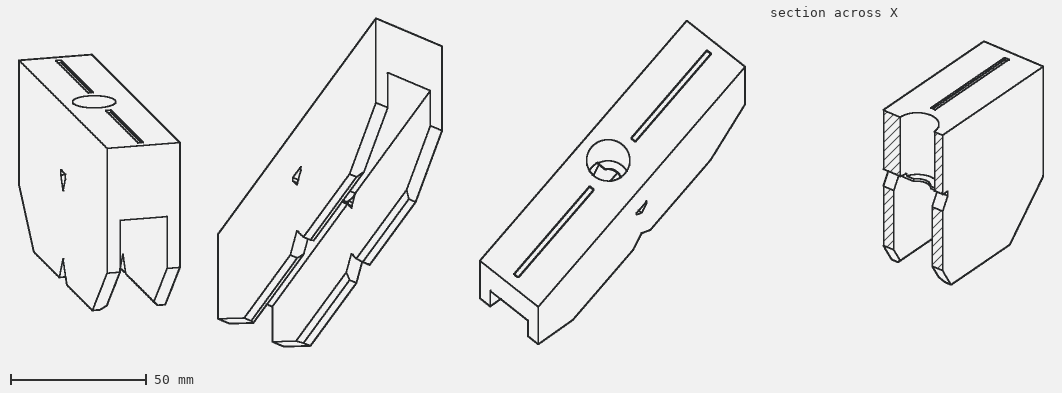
import cadquery as cq
import math

LENGTH = 120.0
WIDTH = 28.0
HEIGHT = 68.0
CORNER_CUT = 20.0

CHANNEL_WIDTH = 18.0
CHANNEL_HEIGHT = 40.0
LEG_CHAMFER = 2.0

NOTCH_WIDTH = 10.0
WINDOW_WIDTH = 6.0
WINDOW_TOP = 42.0

BORE_DIAMETER = 16.0
BORE_DEPTH = 27.0
THROUGH_DIAMETER = 10.0
BORE_Y = -2.0

GROOVE_LENGTH = 43.9
GROOVE_WIDTH = 2.0
GROOVE_DEPTH = 1.0
GROOVE_END_GAP = 4.1


def triangle_height(side):
    """Height of an equilateral triangle."""
    return side * math.sqrt(3) / 2


def extrude_across(outline):
    """Extrude an XZ outline through the full width of the block."""
    return outline.close().extrude(WIDTH / 2, both=True)


def block():
    half_length = LENGTH / 2
    foot = half_length - CORNER_CUT
    return extrude_across(
        cq.Workplane("XZ")
        .moveTo(-foot, 0)
        .lineTo(foot, 0)
        .lineTo(half_length, CORNER_CUT)
        .lineTo(half_length, HEIGHT)
        .lineTo(-half_length, HEIGHT)
        .lineTo(-half_length, CORNER_CUT)
    )


def channel():
    half_width = CHANNEL_WIDTH / 2
    mouth = half_width + LEG_CHAMFER
    return (
        cq.Workplane("YZ")
        .moveTo(-mouth, 0)
        .lineTo(mouth, 0)
        .lineTo(half_width, LEG_CHAMFER)
        .lineTo(half_width, CHANNEL_HEIGHT)
        .lineTo(-half_width, CHANNEL_HEIGHT)
        .lineTo(-half_width, LEG_CHAMFER)
        .close()
        .extrude(LENGTH / 2, both=True)
    )


def bottom_notch():
    return extrude_across(
        cq.Workplane("XZ")
        .moveTo(-NOTCH_WIDTH / 2, 0)
        .lineTo(NOTCH_WIDTH / 2, 0)
        .lineTo(0, triangle_height(NOTCH_WIDTH))
    )


def window():
    """Pointed window: a triangle below the channel roof, a short rectangle above it."""
    half_width = WINDOW_WIDTH / 2
    return extrude_across(
        cq.Workplane("XZ")
        .moveTo(0, CHANNEL_HEIGHT - triangle_height(WINDOW_WIDTH))
        .lineTo(half_width, CHANNEL_HEIGHT)
        .lineTo(half_width, WINDOW_TOP)
        .lineTo(-half_width, WINDOW_TOP)
        .lineTo(-half_width, CHANNEL_HEIGHT)
    )


def stepped_bore():
    top = cq.Workplane("XY", origin=(0, BORE_Y, HEIGHT))
    wide = top.circle(BORE_DIAMETER / 2).extrude(-BORE_DEPTH)
    narrow = top.circle(THROUGH_DIAMETER / 2).extrude(CHANNEL_HEIGHT - HEIGHT)
    return wide.union(narrow)


def grooves():
    offset = (LENGTH - GROOVE_LENGTH) / 2 - GROOVE_END_GAP
    return (
        cq.Workplane("XY", origin=(0, 0, HEIGHT))
        .pushPoints([(-offset, 0), (offset, 0)])
        .rect(GROOVE_LENGTH, GROOVE_WIDTH)
        .extrude(-GROOVE_DEPTH)
    )


result = block()
for cutter in (channel(), bottom_notch(), window(), stepped_bore(), grooves()):
    result = result.cut(cutter)